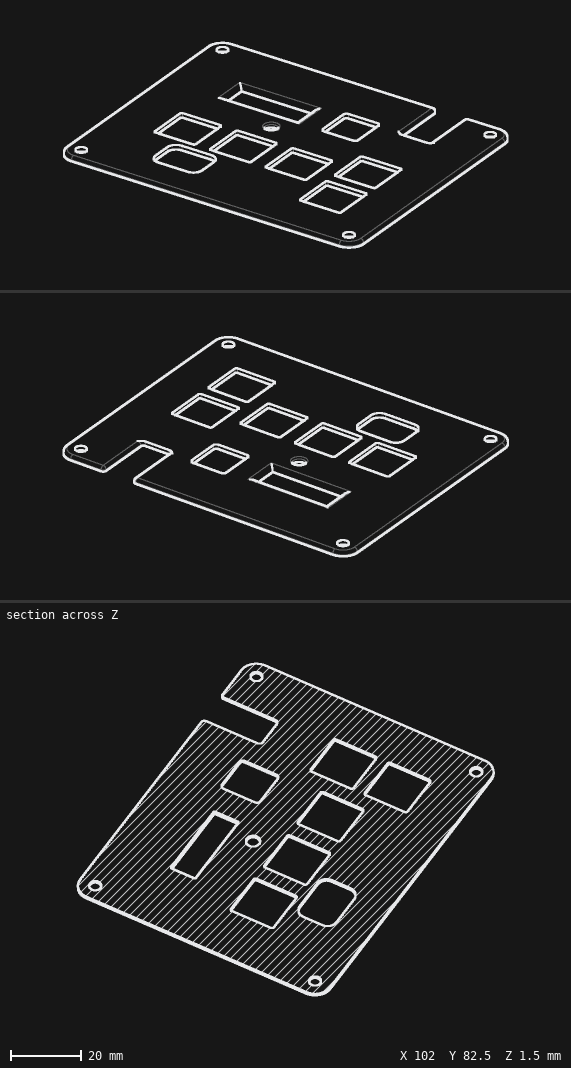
import cadquery as cq
import math

LENGTH = 102.0
WIDTH = 82.5
THICKNESS = 1.5
CORNER_RADIUS = 5.0
EDGE_FILLET = 1.0

SCREW_DIAMETER = 3.4
LAMP_DIAMETER = 4.0
LAMP_CENTER = (-8.8, 5.7)
LAMP_FILLET = 0.5

KEY_SIZE = 14.0
KEY_CORNER = 0.5
KEY_PITCH = 19.1
KEY_ROW_COUNT = 3
KEY_ROW_START = (-27.7, -8.8)
SIDE_KEY_X = 29.6
SIDE_KEY_Y = (-1.9, -19.8)

BUTTON_CENTER = (10.4, 17.8)
BUTTON_SIZE = (12.0, 12.5)
BUTTON_CORNER = 1.0
SOCKET_CENTER = (-18.5, -24.3)
SOCKET_SIZE = (16.0, 12.0)
SOCKET_CORNER = 3.0

WINDOW_CENTER = (-16.9, 16.9)
WINDOW_TOP_SIZE = (28.0, 11.4)
WINDOW_ROUND = 1.9

SLOT_CENTER_X = 29.3
SLOT_WIDTH = 10.1
SLOT_END_Y = 22.2
SLOT_CORNER = 1.0
SLOT_MIDDLE_Y = (SLOT_END_Y + WIDTH / 2) / 2

SELECTION_MARGIN = 0.1


def rounded_cutter(center, size, corner):
    """Vertical through-cutter with a rounded rectangular outline."""
    return (
        cq.Workplane("XY")
        .center(*center)
        .rect(*size)
        .extrude(THICKNESS)
        .edges("|Z")
        .fillet(corner)
    )


def make_plate():
    """Rounded plate with the outer half of the slot, its rim and slot mouth rounded over."""
    outer_slot = cq.Workplane("XY").box(
        SLOT_WIDTH, WIDTH / 2 - SLOT_MIDDLE_Y, THICKNESS, centered=(True, False, False)
    )
    plate = (
        cq.Workplane("XY")
        .rect(LENGTH, WIDTH)
        .extrude(THICKNESS)
        .edges("|Z")
        .fillet(CORNER_RADIUS)
        .cut(outer_slot.translate((SLOT_CENTER_X, SLOT_MIDDLE_Y, 0)))
    )
    mouth_edges = cq.selectors.BoxSelector(
        (SLOT_CENTER_X - SLOT_WIDTH, WIDTH / 2 - SELECTION_MARGIN, 0),
        (SLOT_CENTER_X + SLOT_WIDTH, WIDTH / 2 + SELECTION_MARGIN, THICKNESS),
    )
    upright_edges = cq.selectors.ParallelDirSelector(cq.Vector(0, 0, 1))
    slot_end_edge = cq.selectors.NearestToPointSelector((SLOT_CENTER_X, SLOT_MIDDLE_Y, THICKNESS))
    top_edges = cq.selectors.DirectionMinMaxSelector(cq.Vector(0, 0, 1))
    return plate.edges(top_edges - slot_end_edge + (mouth_edges & upright_edges)).fillet(EDGE_FILLET)


def screw_holes():
    """Four holes concentric with the plate corners."""
    return (
        cq.Workplane("XY")
        .rect(LENGTH - 2 * CORNER_RADIUS, WIDTH - 2 * CORNER_RADIUS, forConstruction=True)
        .vertices()
        .circle(SCREW_DIAMETER / 2)
        .extrude(THICKNESS)
    )


def lamp_hole():
    """Round hole whose upper edge is rounded over."""
    radius = LAMP_DIAMETER / 2
    flare = radius + LAMP_FILLET
    arc_start_z = THICKNESS - LAMP_FILLET
    diagonal = LAMP_FILLET * math.sqrt(0.5)
    profile = (
        cq.Workplane("XZ")
        .lineTo(radius, 0)
        .lineTo(radius, arc_start_z)
        .threePointArc((flare - diagonal, arc_start_z + diagonal), (flare, THICKNESS))
        .lineTo(0, THICKNESS)
        .close()
    )
    return profile.revolve().translate((*LAMP_CENTER, 0))


def window_wedge(span, length):
    """Symmetric prism along Y whose flanks are convex arcs tangent to the top face."""
    half = span / 2
    depth_angle = math.acos(1 - THICKNESS / WINDOW_ROUND)

    def flank(angle, side):
        x = half - WINDOW_ROUND * math.sin(angle)
        z = THICKNESS - WINDOW_ROUND * (1 - math.cos(angle))
        return (side * x, z)

    return (
        cq.Workplane("XZ")
        .moveTo(*flank(0, -1))
        .threePointArc(flank(depth_angle / 2, -1), flank(depth_angle, -1))
        .lineTo(*flank(depth_angle, 1))
        .threePointArc(flank(depth_angle / 2, 1), flank(0, 1))
        .close()
        .extrude(length / 2, both=True)
    )


def display_window():
    """Opening with mitred corners, formed where two crossed prisms overlap."""
    span_x, span_y = WINDOW_TOP_SIZE
    across = window_wedge(span_x, span_y)
    along = window_wedge(span_y, span_x).rotate((0, 0, 0), (0, 0, 1), 90)
    return across.intersect(along).translate((*WINDOW_CENTER, 0))


def inner_slot():
    """Inner half of the slot, with rounded-over sides and a blend at each inner corner."""
    half = SLOT_WIDTH / 2
    flare = half + EDGE_FILLET
    arc_start_z = THICKNESS - EDGE_FILLET
    diagonal = EDGE_FILLET * math.sqrt(0.5)
    section = (
        cq.Workplane("XZ", origin=(SLOT_CENTER_X, SLOT_END_Y, 0))
        .moveTo(-half, 0)
        .lineTo(half, 0)
        .lineTo(half, arc_start_z)
        .threePointArc((flare - diagonal, arc_start_z + diagonal), (flare, THICKNESS))
        .lineTo(-flare, THICKNESS)
        .threePointArc((diagonal - flare, arc_start_z + diagonal), (-half, arc_start_z))
        .close()
    )
    slot = section.extrude(SLOT_END_Y - SLOT_MIDDLE_Y)
    return slot.faces("<Y").edges("not #Z").fillet(SLOT_CORNER)


def key_centers():
    row_x, row_y = KEY_ROW_START
    row = [(row_x + i * KEY_PITCH, row_y) for i in range(KEY_ROW_COUNT)]
    column = [(SIDE_KEY_X, y) for y in SIDE_KEY_Y]
    return row + column


result = make_plate()
for cutter in (screw_holes(), lamp_hole(), display_window(), inner_slot()):
    result = result.cut(cutter)
result = result.cut(rounded_cutter(BUTTON_CENTER, BUTTON_SIZE, BUTTON_CORNER))
result = result.cut(rounded_cutter(SOCKET_CENTER, SOCKET_SIZE, SOCKET_CORNER))
for key_center in key_centers():
    result = result.cut(rounded_cutter(key_center, (KEY_SIZE, KEY_SIZE), KEY_CORNER))